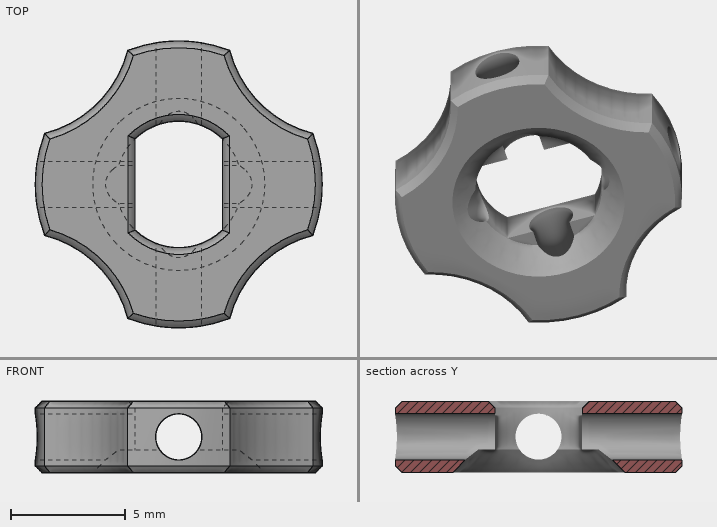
import cadquery as cq
import math

outer_diameter = 12.5
outer_radius = outer_diameter / 2
thickness = 3.12
edge_chamfer = 0.3

scallop_radius = 5.0
scallop_centre_offset = 10.0
scallop_count = 4
first_scallop_angle = 180 / scallop_count

bore_radius = 2.75
bore_flat_width = 3.8
cone_height = 1.0
cone_angle = 45.0
cone_bottom_radius = bore_radius + cone_height * math.tan(math.radians(cone_angle))

cross_hole_diameter = 2.0


def make_knob():
    """Disc with a scallop cut on each diagonal."""
    disc = cq.Workplane("XY").circle(outer_radius).extrude(thickness)
    scallops = (
        cq.Workplane("XY")
        .polarArray(scallop_centre_offset, first_scallop_angle, 360, scallop_count)
        .circle(scallop_radius)
        .extrude(thickness)
    )
    return disc.cut(scallops)


def make_bore():
    """Cutter for the shaft: a round hole trimmed by two flats facing X."""
    round_bore = cq.Workplane("XY").circle(bore_radius).extrude(thickness)
    flats = cq.Workplane("XY").rect(bore_flat_width, 2 * bore_radius).extrude(thickness)
    return round_bore.intersect(flats)


def make_bottom_cone():
    """Cutter that narrows from the bottom face up to the bore radius."""
    profile = [(0, 0), (cone_bottom_radius, 0), (bore_radius, cone_height), (0, cone_height)]
    return cq.Workplane("XZ").polyline(profile).close().revolve(360, (0, 0), (0, 1))


def make_cross_hole(plane):
    """Round cutter across the whole part at mid thickness."""
    return (
        cq.Workplane(plane, origin=(0, 0, thickness / 2))
        .circle(cross_hole_diameter / 2)
        .extrude(outer_radius, both=True)
    )


knob = make_knob().faces("<Z").chamfer(edge_chamfer)
knob = knob.cut(make_bore())
knob = knob.faces(">Z").chamfer(edge_chamfer)
knob = knob.cut(make_bottom_cone())
for hole_plane in ("XZ", "YZ"):
    knob = knob.cut(make_cross_hole(hole_plane))

result = knob